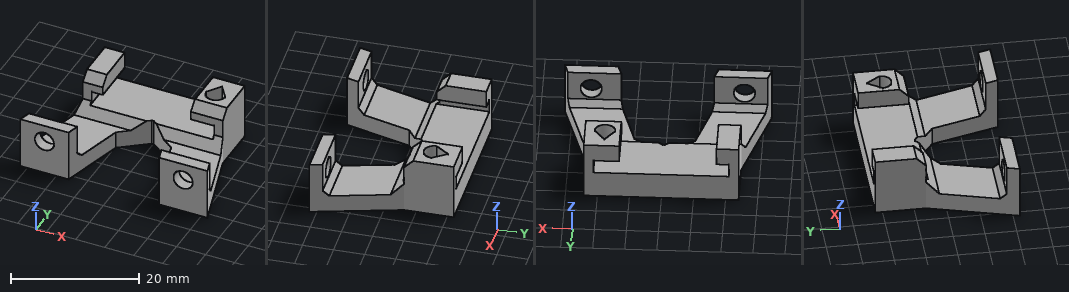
import cadquery as cq
import math

total_width = 32.32
total_depth = 22.2
block_height = 9.7

block_width = 24.18
block_depth = 8.0
top_chamfer = 1.5

channel_width = 21.15
channel_floor = 4.5
lip_underside = 6.75
left_lip_edge = -8.63
right_lip_edge = 6.55

arm_thickness = 3.0
arm_height = 9.02
arm_foot_inner = 7.8
ramp_rise = 2.0
end_plate_thickness = 2.0
foot_chamfer = 1.0

notch_tip_half_width = 0.15
notch_corner_x = 4.75
notch_corner_y = -11.4

hole_diameter = 3.3
hole_x = 11.95
hole_z = 6.0

teardrop_radius = 1.6
teardrop_x = 8.95
teardrop_y = -3.98

block_half = block_width / 2
total_half = total_width / 2
channel_half = channel_width / 2
end_plate_back = -total_depth + end_plate_thickness


def extrude_side_profile(points):
    """Extrude a (y, z) profile across the full width, centred on x = 0."""
    return cq.Workplane("YZ").polyline(points).close().extrude(total_half, both=True)


def make_block():
    profile = [
        (0, 0),
        (-block_depth, 0),
        (-block_depth, block_height - top_chamfer),
        (-block_depth + top_chamfer, block_height),
        (0, block_height),
    ]
    slab = cq.Workplane("YZ").polyline(profile).close()
    return slab.extrude(block_half, both=True)


def make_arms():
    side = extrude_side_profile([
        (-block_depth, 0),
        (-total_depth, 0),
        (-total_depth, arm_height),
        (end_plate_back, arm_height),
        (end_plate_back, arm_thickness + foot_chamfer),
        (end_plate_back + foot_chamfer, arm_thickness),
        (-block_depth - ramp_rise, arm_thickness),
        (-block_depth, arm_thickness + ramp_rise),
    ])
    right_half = [
        (notch_tip_half_width, -block_depth),
        (notch_corner_x, notch_corner_y),
        (arm_foot_inner, -total_depth),
        (total_half, -total_depth),
        (block_half, -block_depth),
    ]
    plan = cq.Workplane("XY").polyline(right_half).close().extrude(block_height)
    return side.intersect(plan.union(plan.mirror("YZ")))


def channel_box(x_min, x_max, z_max):
    """Box rising from the channel floor, from the back face to the foot of the ramp."""
    length = block_depth + ramp_rise
    box = cq.Workplane("XY").box(x_max - x_min, length, z_max - channel_floor, centered=False)
    return box.translate((x_min, -length, channel_floor))


def make_channel():
    undercut = channel_box(-channel_half, channel_half, lip_underside)
    opening = channel_box(left_lip_edge, right_lip_edge, block_height)
    return undercut.union(opening)


def make_end_plate_holes():
    plane = cq.Workplane("XZ", origin=(0, end_plate_back, 0))
    centres = [(-hole_x, hole_z), (hole_x, hole_z)]
    return plane.pushPoints(centres).circle(hole_diameter / 2).extrude(end_plate_thickness)


def make_teardrop():
    plane = cq.Workplane("XY", origin=(teardrop_x, teardrop_y, lip_underside))
    return (
        plane.moveTo(-teardrop_radius, 0)
        .threePointArc((0, -teardrop_radius), (teardrop_radius, 0))
        .lineTo(0, teardrop_radius * math.sqrt(2))
        .close()
        .extrude(block_height - lip_underside)
    )


body = make_block().union(make_arms())
result = body.cut(make_channel()).cut(make_end_plate_holes()).cut(make_teardrop())